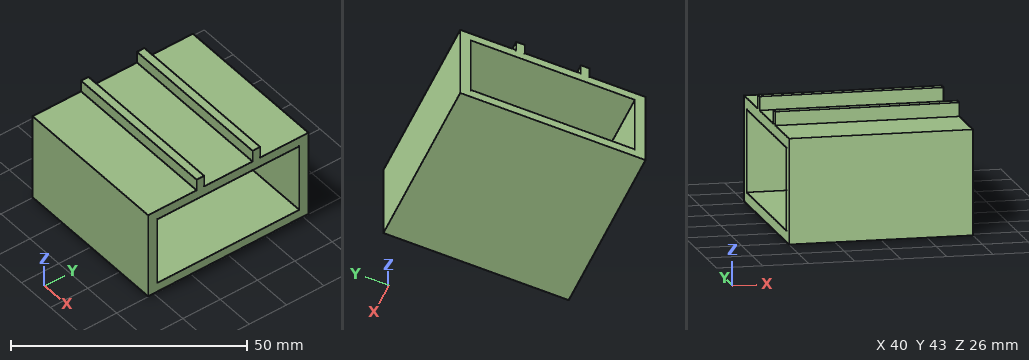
import cadquery as cq

length = 40.0
width = 43.0
total_height = 26.0

wall = 2.5
rail_height = 3.0
rail_width = 2.0
rail_spacing = 15.0

tube_height = total_height - rail_height


def make_tube():
    """Rectangular tube, open along X, standing on Z = 0."""
    outer = cq.Workplane("XY").box(length, width, tube_height)
    opening = cq.Workplane("XY").box(length, width - 2 * wall, tube_height - 2 * wall)
    return outer.cut(opening).translate((0, 0, tube_height / 2))


def make_rail(center_y):
    """Full-length rail standing on the top face of the tube."""
    return (
        cq.Workplane("XY", origin=(0, center_y, tube_height))
        .rect(length, rail_width)
        .extrude(rail_height)
    )


result = make_tube()
for side in (-1, 1):
    result = result.union(make_rail(side * rail_spacing / 2))